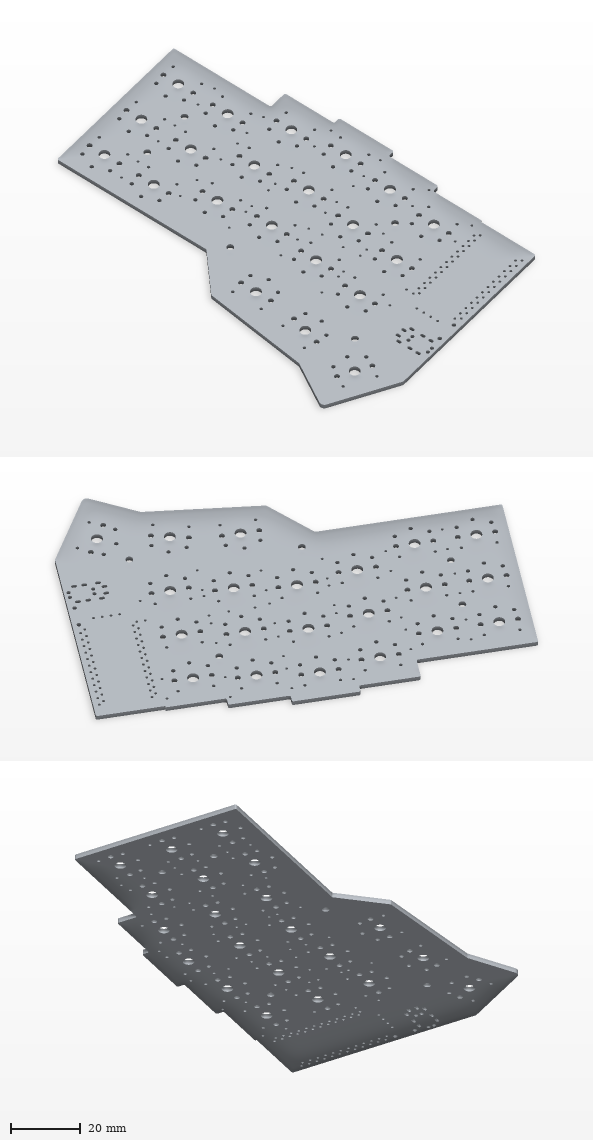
import cadquery as cq
import math


board_length = 130.0
board_width = 87.7
board_thickness = 1.5
corner_radius = 0.5
thumb_radius = 1.5

left_bottom = 25.2
left_top = 78.9
shoulder_top = 85.4
inner_top = 82.9
controller_top = 82.4
outer_step = 35.6
peak_start = 53.7
peak_end = 73.7
inner_step = 91.9
controller_step = 109.7
thumb_start = 54.7
thumb_corner = (66.5, 12.6)
thumb_bend_x = 102.3
right_bottom = 21.3
tip_slope = math.radians(60)

column_pitch = 18.1
row_pitch = 17.0
rows = 3
first_column = 9.5
bottom_row_heights = [35.1, 35.1, 41.7, 44.1, 41.7, 39.3]
thumb_switches = [(75.8, 21.6, 180), (95.9, 19.0, 165), (116.6, 15.7, 240)]

stem_diameter = 3.4
peg_diameter = 1.7
peg_offset = 5.5
contact_diameter = 1.27
side_contact = (5.1, -3.8)
middle_contact = (0, -5.8)
latch_diameter = 0.99
latch = (5.2, 4.2)

lead_diameter = 0.82
lead_spacing = 7.7
upright_diodes = [
    (18.7, 31.3), (18.5, 48.6), (18.7, 66.5),
    (36.3, 36.4), (36.8, 54.5), (36.4, 67.0),
    (54.7, 35.7), (54.7, 46.1), (54.7, 57.0), (54.7, 75.0),
    (72.8, 36.8), (72.8, 49.7), (72.8, 62.5), (72.8, 75.0),
    (90.7, 33.1), (90.7, 43.2), (90.7, 53.8), (90.7, 74.9),
    (109.0, 41.5), (108.7, 72.0),
]
flat_diode = (77.2, 50.3)

pin_diameter = 0.82
header_pins = 12
header_length = 28.0
pin_pitch = header_length / (header_pins - 1)
header_rows = [(111.5, 49.1), (112.8, 50.3), (126.7, 49.1), (128.2, 50.3)]
display_pins = 4
display_start = (115.8, 45.4)

button_diameter = 1.3
button_x = 128.0
button_heights = [40.5, 47.0]
jack_middle = 35.4
jack_peg_diameter = 1.2
jack_peg_offset = 0.9
jack_peg_columns = [121.4, 128.5]
jack_slot_length = 1.7
jack_slot_width = 0.99
jack_slot_offset = 3.0
jack_slot_columns = [119.6, 123.6, 126.6]
jack_end_slot = 118.0
jack_end_offset = 1.3

screw_diameter = 2.2
screws = [(18.6, 43.4), (18.6, 60.6), (59.5, 30.2), (90.9, 66.7), (109.0, 25.3)]


def place(point, switch):
    """Turn a point of the switch footprint and move it to the switch centre."""
    x, y, rotation = switch
    angle = math.radians(rotation)
    return (
        x + point[0] * math.cos(angle) - point[1] * math.sin(angle),
        y + point[0] * math.sin(angle) + point[1] * math.cos(angle),
    )


def drill(plate, points, diameter):
    """Cut round through holes at the given points."""
    cutters = (
        cq.Workplane("XY").pushPoints(points).circle(diameter / 2).extrude(board_thickness)
    )
    return plate.cut(cutters)


def round_corners(plate, corners, radius):
    """Round the upright plate edges at the given outline corners."""
    for x, y in corners:
        edge = cq.selectors.NearestToPointSelector((x, y, board_thickness / 2))
        plate = plate.edges("|Z").edges(edge).fillet(radius)
    return plate


def make_plate():
    rise = math.tan(tip_slope)
    fall = 1 / rise
    tip_y = thumb_radius * (1 - math.sin(tip_slope) - math.cos(tip_slope))
    tip_x = board_length - (right_bottom - tip_y) / rise
    thumb_bend_y = tip_y + fall * (tip_x - thumb_bend_x)

    thumb_edge = [
        (0, left_bottom),
        (thumb_start, left_bottom),
        thumb_corner,
    ]
    tip_edge = [
        (thumb_bend_x, thumb_bend_y),
        (tip_x, tip_y),
    ]
    right_edge = [
        (board_length, right_bottom),
        (board_length, controller_top),
    ]
    controller_edge = [
        (controller_step, controller_top),
        (controller_step, inner_top),
    ]
    top_edge = [
        (inner_step, inner_top),
        (inner_step, shoulder_top),
        (peak_end, shoulder_top),
        (peak_end, board_width),
        (peak_start, board_width),
        (peak_start, shoulder_top),
        (outer_step, shoulder_top),
        (outer_step, left_top),
        (0, left_top),
    ]
    outline = thumb_edge + tip_edge + right_edge + controller_edge + top_edge
    plate = cq.Workplane("XY").polyline(outline).close().extrude(board_thickness)
    plate = round_corners(plate, tip_edge, thumb_radius)
    return round_corners(plate, thumb_edge + right_edge + top_edge, corner_radius)


def drill_switches(plate):
    switches = [
        (first_column + column * column_pitch, bottom + row * row_pitch, 0)
        for column, bottom in enumerate(bottom_row_heights)
        for row in range(rows)
    ]
    switches += thumb_switches
    footprint = [
        (stem_diameter, [(0, 0)]),
        (peg_diameter, [(-peg_offset, 0), (peg_offset, 0)]),
        (contact_diameter, [(-side_contact[0], side_contact[1]), side_contact, middle_contact]),
        (latch_diameter, [(-latch[0], latch[1]), latch]),
    ]
    for diameter, points in footprint:
        holes = [place(point, switch) for switch in switches for point in points]
        plate = drill(plate, holes, diameter)
    return plate


def drill_diodes(plate):
    leads = []
    for x, y in upright_diodes:
        leads += [(x, y), (x, y + lead_spacing)]
    x, y = flat_diode
    leads += [(x, y), (x + lead_spacing, y)]
    return drill(plate, leads, lead_diameter)


def drill_controller(plate):
    pins = [(x, y + i * pin_pitch) for x, y in header_rows for i in range(header_pins)]
    x, y = display_start
    pins += [(x + i * pin_pitch, y) for i in range(display_pins)]
    return drill(plate, pins, pin_diameter)


def cut_jack(plate):
    pegs = []
    slots = []
    for side in (-1, 1):
        pegs += [(x, jack_middle + side * jack_peg_offset) for x in jack_peg_columns]
        slots += [(x, jack_middle + side * jack_slot_offset) for x in jack_slot_columns]
        slots.append((jack_end_slot, jack_middle + side * jack_end_offset))
    plate = drill(plate, pegs, jack_peg_diameter)
    cutters = (
        cq.Workplane("XY")
        .pushPoints(slots)
        .slot2D(jack_slot_length, jack_slot_width)
        .extrude(board_thickness)
    )
    return plate.cut(cutters)


result = make_plate()
result = drill_switches(result)
result = drill_diodes(result)
result = drill_controller(result)
result = drill(result, [(button_x, y) for y in button_heights], button_diameter)
result = cut_jack(result)
result = drill(result, screws, screw_diameter)